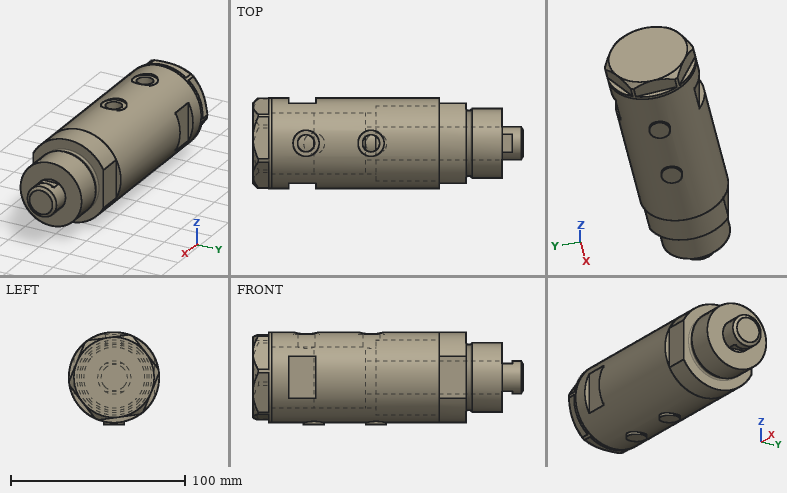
import cadquery as cq
import math


hex_end = 9.0
barrel_start = 10.8
barrel_end = 107.0
collar_end = 122.35
groove_end = 125.95
gland_end = 143.0
rod_end = 155.02
cap_plug_end = 35.0
piston_end = 64.6
gland_plug_start = 70.6

outer_radius = 26.0
bore_radius = 17.5
gland_plug_radius = 21.5
rod_radius = 9.5
thread_radius = 20.0

hex_across_flats = 46.0
hex_turn = 7.8
hex_chamfer = 3.0

body_flat_half_width = 23.0
barrel_flat_start = 20.6
barrel_flat_length = 15.5
rod_flat_half_width = 8.0
rod_flat_end = 148.8

port_positions = [30.5, 67.8]
port_radius = 4.9
spot_face_radius = 7.5
spot_face_height = 24.85
boss_positions = [cap_plug_end, gland_plug_start]
boss_radius = 6.0
boss_bottom = -27.1

groove_radius = 18.9
groove_fillet = 1.0
groove_ramp_angle = 45.0

rod_chamfer_length = 1.2
rod_chamfer_depth = 2.0


def cylinder(start, end, radius):
    """Cylinder on the X axis between two stations."""
    return cq.Workplane("YZ", origin=(start, 0, 0)).circle(radius).extrude(end - start)


def side_flats(start, length, half_width):
    """Two blocks that cut flats on the +Y and -Y sides of the body."""
    depth = outer_radius - half_width
    blocks = cq.Workplane("XY")
    for side in (1, -1):
        block = cq.Workplane("XY").box(length, depth, 2 * outer_radius)
        offset = side * (half_width + depth / 2)
        blocks = blocks.add(block.translate((start + length / 2, offset, 0)))
    return blocks.combine()


def make_cap():
    """Hexagon head with a flange and a plug that fills the closed end of the bore."""
    corner_diameter = hex_across_flats / math.cos(math.pi / 6)
    hexagon = (
        cq.Workplane("YZ")
        .polygon(6, corner_diameter)
        .extrude(hex_end)
        .rotate((0, 0, 0), (1, 0, 0), -hex_turn)
    )
    rounding = cylinder(0, hex_end, outer_radius).faces("<X").chamfer(hex_chamfer)
    flange = cylinder(hex_end, barrel_start, outer_radius)
    plug = cylinder(barrel_start, cap_plug_end, bore_radius)
    return hexagon.intersect(rounding).union(flange).union(plug)


def make_barrel():
    """Tube with a stepped bore, two spot-faced ports, two bosses and wrench flats."""
    barrel = cylinder(barrel_start, barrel_end, outer_radius)
    for x in boss_positions:
        boss = cq.Workplane("XY", origin=(x, 0, boss_bottom)).circle(boss_radius).extrude(-boss_bottom)
        barrel = barrel.union(boss)
    barrel = barrel.cut(cylinder(barrel_start, barrel_end, bore_radius))
    barrel = barrel.cut(cylinder(gland_plug_start, barrel_end, gland_plug_radius))
    for x in port_positions:
        hole = cq.Workplane("XY", origin=(x, 0, 0)).circle(port_radius).extrude(outer_radius)
        spot_face = (
            cq.Workplane("XY", origin=(x, 0, spot_face_height))
            .circle(spot_face_radius)
            .extrude(outer_radius - spot_face_height)
        )
        barrel = barrel.cut(hole).cut(spot_face)
    return barrel.cut(side_flats(barrel_flat_start, barrel_flat_length, body_flat_half_width))


def make_piston_rod():
    """Piston and rod in one piece, with flats behind the chamfered rod end."""
    piston = cylinder(cap_plug_end, piston_end, bore_radius)
    chamfer_start = rod_end - rod_chamfer_length
    rod = (
        cq.Workplane("XY")
        .moveTo(cap_plug_end, 0)
        .lineTo(cap_plug_end, rod_radius)
        .lineTo(chamfer_start, rod_radius)
        .lineTo(rod_end, rod_radius - rod_chamfer_depth)
        .lineTo(rod_end, 0)
        .close()
        .revolve(360, (0, 0, 0), (1, 0, 0))
    )
    length = rod_flat_end - gland_end
    depth = rod_radius - rod_flat_half_width
    for side in (1, -1):
        block = cq.Workplane("XY").box(length, 2 * rod_radius, depth)
        height = side * (rod_flat_half_width + depth / 2)
        rod = rod.cut(block.translate((gland_end + length / 2, 0, height)))
    return piston.union(rod)


def make_gland():
    """Plug in the barrel, flatted collar and relieved neck, bored for the rod."""
    plug = cylinder(gland_plug_start, barrel_end, gland_plug_radius)
    collar = cylinder(barrel_end, collar_end, outer_radius)
    collar = collar.cut(side_flats(barrel_end, collar_end - barrel_end, body_flat_half_width))
    fillet_center_radius = groove_radius + groove_fillet
    ramp = math.radians(groove_ramp_angle)
    ramp_foot_radius = fillet_center_radius - groove_fillet * math.cos(ramp)
    ramp_foot = groove_end - (thread_radius - ramp_foot_radius) / math.tan(ramp)
    ramp_fillet_start = ramp_foot - groove_fillet * math.sin(ramp)
    neck = (
        cq.Workplane("XY")
        .moveTo(collar_end, 0)
        .lineTo(collar_end, fillet_center_radius)
        .radiusArc((collar_end + groove_fillet, groove_radius), -groove_fillet)
        .lineTo(ramp_fillet_start, groove_radius)
        .radiusArc((ramp_foot, ramp_foot_radius), -groove_fillet)
        .lineTo(groove_end, thread_radius)
        .lineTo(gland_end, thread_radius)
        .lineTo(gland_end, 0)
        .close()
        .revolve(360, (0, 0, 0), (1, 0, 0))
    )
    rod_hole = cylinder(gland_plug_start, gland_end, rod_radius)
    return plug.union(collar).union(neck).cut(rod_hole)


cap = make_cap()
barrel = make_barrel()
piston_rod = make_piston_rod()
gland = make_gland()

result = cq.Compound.makeCompound([cap.val(), barrel.val(), piston_rod.val(), gland.val()])